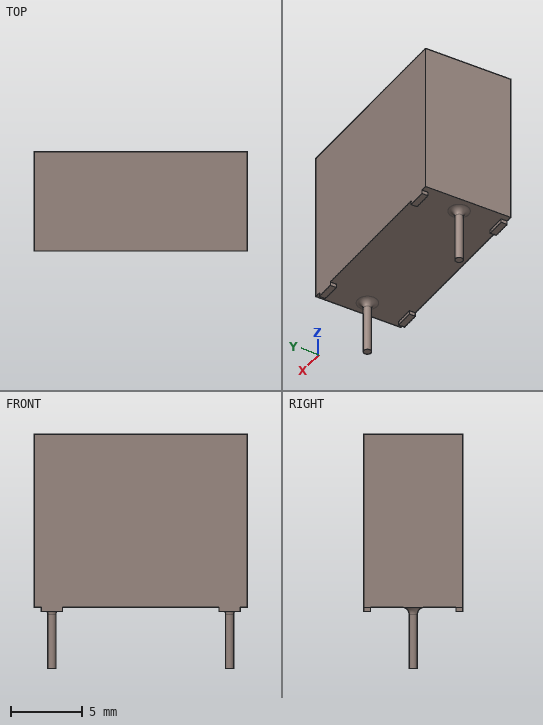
import cadquery as cq

body_length = 15.0
body_width = 7.0
body_height = 12.2
total_height = 16.5

pin_diameter = 0.6
pin_spacing = 12.5
pin_flare_radius = 0.5
pin_length = total_height - body_height

foot_length = 1.5
foot_width = 0.5
foot_height = 0.3
foot_spacing_y = body_width - foot_width


def make_body():
    """Plain case standing on Z = 0."""
    return cq.Workplane("XY").box(body_length, body_width, body_height, centered=(True, True, False))


def make_feet():
    """Four feet, one at each long side in line with each pin."""
    return (
        cq.Workplane("XY")
        .rarray(pin_spacing, foot_spacing_y, 2, 2)
        .rect(foot_length, foot_width)
        .extrude(-foot_height)
    )


def make_pins():
    """Two straight pins hanging below the case."""
    return (
        cq.Workplane("XY")
        .rarray(pin_spacing, body_width, 2, 1)
        .circle(pin_diameter / 2)
        .extrude(-pin_length)
    )


def flare_pin_roots(part):
    """Fillet the circles where the pins leave the underside."""
    return part.edges("%CIRCLE").edges(">Z").fillet(pin_flare_radius)


body_with_pins = make_body().union(make_pins())
result = flare_pin_roots(body_with_pins).union(make_feet())